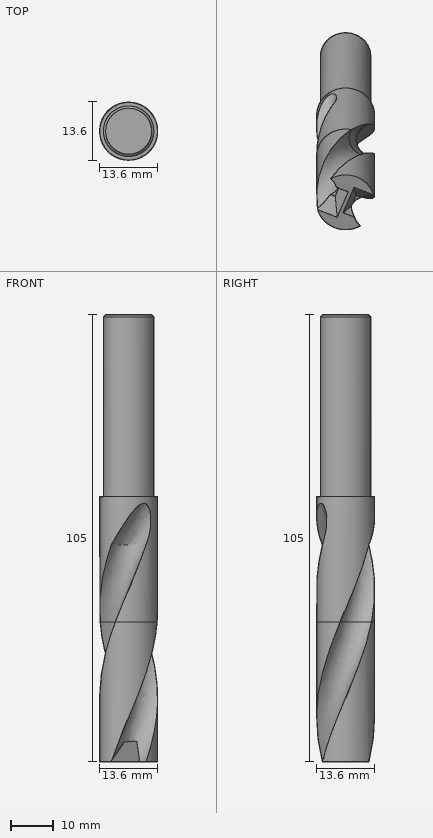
import cadquery as cq
import math

total_length = 105
cutter_diameter = 13.6
shank_diameter = 11.9
shoulder_height = 62.3
shank_chamfer = 0.5
cutter_radius = cutter_diameter / 2

tip_length = 32.9

flute_count = 2
flute_radius = 4.3
flute_height = 50.9
flute_lead = 101.8
flute_end_angle = -90
flute_twist = 360 * flute_height / flute_lead

runout_height = 14.7
runout_side_slope = 0.6
runout_outward_slope = 0.27

gash_left = -4.2
gash_shoulder_left = -1
gash_shoulder_height = 4.6
gash_top_right = 1.9
gash_height = 4.9
gash_right = 2.6
gash_top_depth_y = -2.3
gash_bottom_depth_y = -0.4


def rotated_copies(shape):
    """Copies of a cutting shape, one for each flute."""
    return [
        shape.rotate((0, 0, 0), (0, 0, 1), 360 / flute_count * index)
        for index in range(flute_count)
    ]


def helical_groove():
    start_angle = math.radians(flute_end_angle - flute_twist)
    return (
        cq.Workplane("XY")
        .moveTo(cutter_radius * math.cos(start_angle), cutter_radius * math.sin(start_angle))
        .circle(flute_radius)
        .twistExtrude(flute_height, flute_twist)
    )


def groove_runout():
    path_end = (
        runout_side_slope * runout_height,
        -cutter_radius - runout_outward_slope * runout_height,
        flute_height + runout_height,
    )
    path = cq.Workplane("XY").polyline([(0, -cutter_radius, flute_height), path_end])
    return (
        cq.Workplane("XY", origin=(0, -cutter_radius, flute_height))
        .circle(flute_radius)
        .sweep(path)
    )


def gash():
    outline = (
        cq.Workplane("XZ")
        .polyline([
            (gash_left, 0),
            (gash_shoulder_left, gash_shoulder_height),
            (gash_top_right, gash_height),
            (gash_right, 0),
        ])
        .close()
        .extrude(cutter_diameter)
    )
    leaning_wall = (
        cq.Workplane("YZ")
        .polyline([
            (-cutter_diameter, 0),
            (gash_bottom_depth_y, 0),
            (gash_top_depth_y, gash_height),
            (-cutter_diameter, gash_height),
        ])
        .close()
        .extrude(cutter_radius, both=True)
    )
    return outline.intersect(leaning_wall)


def cut_flutes(body):
    for feature in (helical_groove(), groove_runout()):
        for cutting_shape in rotated_copies(feature):
            body = body.cut(cutting_shape)
    return body


def make_holder():
    fluted_part = (
        cq.Workplane("XY", origin=(0, 0, tip_length))
        .circle(cutter_radius)
        .extrude(shoulder_height - tip_length)
    )
    shank = (
        cq.Workplane("XY", origin=(0, 0, shoulder_height))
        .circle(shank_diameter / 2)
        .extrude(total_length - shoulder_height)
        .faces(">Z")
        .chamfer(shank_chamfer)
    )
    return cut_flutes(fluted_part).union(shank)


def make_cutting_tip():
    tip = cut_flutes(cq.Workplane("XY").circle(cutter_radius).extrude(tip_length))
    for cutting_shape in rotated_copies(gash()):
        tip = tip.cut(cutting_shape)
    return tip


holder = make_holder()
cutting_tip = make_cutting_tip()
result = cq.Compound.makeCompound([holder.val(), cutting_tip.val()])